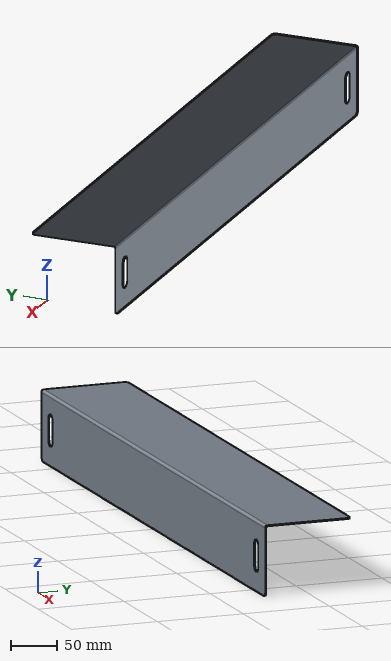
import cadquery as cq

length = 674.0
flange_depth = 100.0
web_height = 80.0
thickness = 1.5

inner_bend_radius = 1.5
outer_bend_radius = inner_bend_radius + thickness

corner_radius = 5.0

slot_width = 13.0
slot_length = 36.0
slot_end_distance = 27.0
slot_center_z = -web_height / 2
slot_offset_x = length / 2 - slot_end_distance


def angle_body():
    """L-section in the YZ plane, centred along X; outer bend corner at Y = Z = 0."""
    profile = (
        cq.Workplane("YZ")
        .moveTo(0, -web_height)
        .lineTo(0, -outer_bend_radius)
        .radiusArc((outer_bend_radius, 0), outer_bend_radius)
        .lineTo(flange_depth, 0)
        .lineTo(flange_depth, -thickness)
        .lineTo(outer_bend_radius, -thickness)
        .radiusArc((thickness, -outer_bend_radius), -inner_bend_radius)
        .lineTo(thickness, -web_height)
        .close()
    )
    return profile.extrude(length / 2, both=True)


def round_free_corners(body):
    """Round the four outer corners of the flange and the web."""
    body = body.faces(">Y").edges("|Z").fillet(corner_radius)
    return body.faces("<Z").edges("|Y").fillet(corner_radius)


def slot_cutters():
    """Two upright slots, mirrored about the middle of the length."""
    return (
        cq.Workplane("XZ", origin=(0, thickness, 0))
        .pushPoints([(-slot_offset_x, slot_center_z), (slot_offset_x, slot_center_z)])
        .slot2D(slot_length, slot_width, angle=90)
        .extrude(thickness)
    )


result = round_free_corners(angle_body()).cut(slot_cutters())